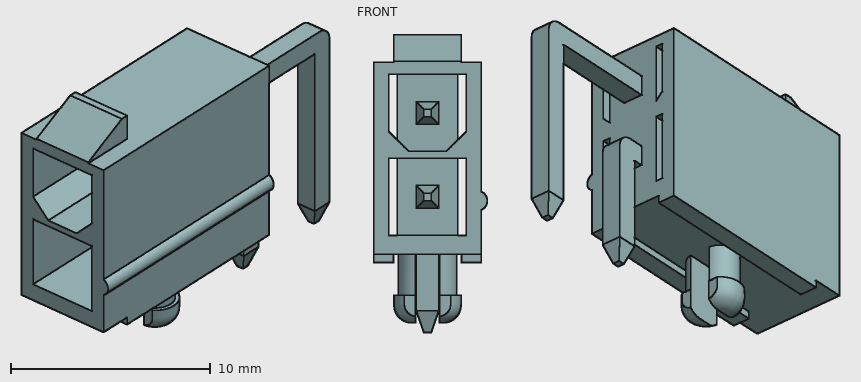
import cadquery as cq


housing_width = 5.4
housing_length = 12.8
housing_top = 10.02
foot_height = 0.42
foot_front = 1.82
foot_gap = 3.4

latch_width = foot_gap
latch_height = 1.38
latch_length = 3.0
latch_flat = 0.4
latch_lip = 0.05

rib_radius = 0.5
rib_projection = 0.3
rib_height = 3.1

pin_rows = 2
pin_pitch_z = 4.2
pin_pitch_y = 5.5
lower_pin_height = 3.3
pin_size = 1.14
pin_tip_size = pin_size / 3
pin_tip_length = 1.1
pin_bend_radius = 0.8
pin_front = 4.0
pin_bottom = -3.5
upper_pin_back = 19.97
cavity_size = 3.85
cavity_chamfer = 1.0
cavity_depth = 9.98
back_wall_width = 3.04

peg_center_y = 6.61
peg_thickness = 2.04
peg_stem_width = 2.94
peg_slit = 1.2
peg_head_overhang = 0.22
peg_head_top = -1.62
peg_bottom = -3.02
peg_head_round = 0.9

pin_heights = [lower_pin_height + row * pin_pitch_z for row in range(pin_rows)]


def box(x_range, y_range, z_range):
    """Box between the given limits along each axis."""
    sizes = [high - low for low, high in (x_range, y_range, z_range)]
    corner = (x_range[0], y_range[0], z_range[0])
    return cq.Workplane("XY").box(*sizes, centered=False).translate(corner)


def centered_box(width, y_range, z_range):
    """Box that is symmetric about X = 0."""
    return box((-width / 2, width / 2), y_range, z_range)


def shell():
    """Outer block with two long feet left and right of a shallow channel."""
    block = centered_box(housing_width, (0, housing_length), (foot_height, housing_top))
    feet = centered_box(housing_width, (foot_front, housing_length), (0, foot_height))
    channel = centered_box(foot_gap, (foot_front, housing_length), (0, foot_height))
    return block.union(feet.cut(channel))


def latch():
    """Ramp that rises from the mating face to a short flat top."""
    latch_top = housing_top + latch_height
    return (
        cq.Workplane("YZ")
        .moveTo(0, housing_top)
        .lineTo(0, housing_top + latch_lip)
        .lineTo(latch_length - latch_flat, latch_top)
        .lineTo(latch_length, latch_top)
        .lineTo(latch_length, housing_top)
        .close()
        .extrude(latch_width / 2, both=True)
    )


def rib():
    """Round bar sunk into the +X side, running the full housing length."""
    center_x = housing_width / 2 + rib_projection - rib_radius
    bar = cq.Workplane("XZ").center(center_x, rib_height).circle(rib_radius).extrude(-housing_length)
    outside = box(
        (housing_width / 2, housing_width / 2 + rib_projection),
        (0, housing_length),
        (0, housing_top),
    )
    return bar.intersect(outside)


def cavity(height, chamfered):
    """Square opening through the housing, around a back wall that leaves a slot on each side."""
    z_range = (height - cavity_size / 2, height + cavity_size / 2)
    opening = centered_box(cavity_size, (0, housing_length), z_range)
    if chamfered:
        opening = opening.faces("<Z").edges("|Y").chamfer(cavity_chamfer)
    back_wall = centered_box(back_wall_width, (cavity_depth, housing_length), z_range)
    return opening.cut(back_wall)


def oblong(width, thickness, bottom, top):
    """Upright bar with an oblong cross-section, on the peg axis."""
    return (
        cq.Workplane("XY", origin=(0, peg_center_y, bottom))
        .slot2D(width, thickness)
        .extrude(top - bottom)
    )


def peg():
    """Board peg: oblong stem with a wider rounded head, flattened front and back and slit in two."""
    stem = oblong(peg_stem_width, peg_thickness, peg_head_top, foot_height)
    head = oblong(
        peg_stem_width + 2 * peg_head_overhang,
        peg_thickness + 2 * peg_head_overhang,
        peg_bottom,
        peg_head_top,
    )
    head = head.faces("<Z").edges().fillet(peg_head_round)
    y_range = (peg_center_y - peg_thickness / 2, peg_center_y + peg_thickness / 2)
    z_range = (peg_bottom, foot_height)
    flats = centered_box(housing_width, y_range, z_range)
    slit = centered_box(peg_slit, y_range, z_range)
    return stem.union(head.intersect(flats)).cut(slit)


def pin_tip(plane):
    """Square taper that grows from the small end on the plane to the full pin section."""
    return (
        cq.Workplane(plane)
        .rect(pin_tip_size, pin_tip_size)
        .workplane(offset=pin_tip_length)
        .rect(pin_size, pin_size)
        .loft(ruled=True)
    )


def make_pin(height, back):
    """L-shaped square pin: a level arm along Y, a leg down at the back and a taper on each end."""
    top = height + pin_size / 2
    bottom = height - pin_size / 2
    leg_front = back - pin_size
    arm_start = pin_front + pin_tip_length
    leg_end = pin_bottom + pin_tip_length
    arm = centered_box(pin_size, (arm_start, back), (bottom, top))
    leg = centered_box(pin_size, (leg_front, back), (leg_end, top))
    bent = arm.union(leg).edges(">Y and >Z").fillet(pin_bend_radius)
    front_tip = pin_tip(cq.Plane((0, pin_front, height), xDir=(1, 0, 0), normal=(0, 1, 0)))
    leg_tip = pin_tip(cq.Plane((0, back - pin_size / 2, pin_bottom)))
    return bent.union(front_tip).union(leg_tip)


pins = []
for row, pin_height in enumerate(pin_heights):
    pin_back = upper_pin_back - (pin_rows - 1 - row) * pin_pitch_y
    pins.append(make_pin(pin_height, pin_back))

housing = shell().union(latch()).union(rib()).union(peg())
for pin_height in pin_heights:
    housing = housing.cut(cavity(pin_height, chamfered=pin_height == pin_heights[-1]))
for pin in pins:
    housing = housing.cut(pin)

result = cq.Compound.makeCompound([housing.val(), *[pin.val() for pin in pins]])